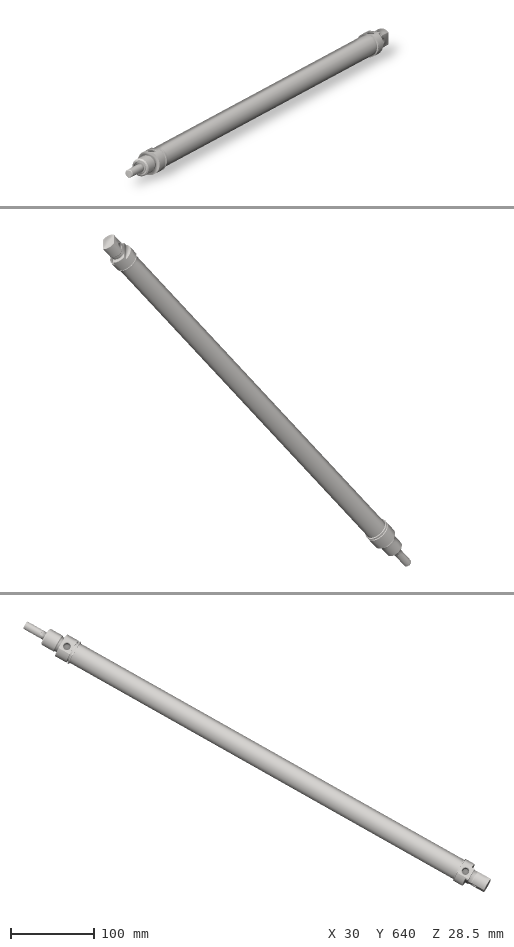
import cadquery as cq


total_length = 640.0
rod_thread_length = 22.0
rod_projection = 28.0
nose_length = 22.0
eye_length = 22.0
collar_length = 15.5
front_neck_length = 3.2
rear_neck_length = 4.0
front_groove_width = 2.0
rear_groove_width = 0.6
front_lip_length = 1.5
rear_lip_length = 0.6
wrench_flat_length = 4.0
eye_flat_length = 26.0

rod_diameter = 10.0
rod_clearance_diameter = 10.5
seal_recess_diameter = 16.2
seal_diameter = 14.0
thread_diameter = 22.0
neck_diameter = 19.7
collar_diameter = 30.0
tube_diameter = 26.5
port_diameter = 8.57
port_mouth_diameter = 9.9
eye_hole_diameter = 8.0

port_flat_height = 13.45
eye_thickness = 16.0
eye_hole_inset = 14.0
port_inset = 8.0
port_depth = 8.0
port_chamfer = (port_mouth_diameter - port_diameter) / 2
nose_chamfer = 1.5
neck_chamfer = (thread_diameter - neck_diameter) / 2
rod_chamfer = 0.95
wrench_size = 9.0
seal_recess_depth = 1.5
seal_setback = 0.5

rod_shoulder_y = -rod_projection
rod_tip_y = rod_shoulder_y - rod_thread_length
nose_tip_y = -nose_length
seal_face_y = nose_tip_y + seal_recess_depth
rear_face_y = rod_tip_y + total_length
rear_collar_end_y = rear_face_y - eye_length
rear_collar_start_y = rear_collar_end_y - collar_length
front_groove_end_y = collar_length + front_groove_width
rear_groove_end_y = rear_collar_start_y - rear_groove_width
tube_start_y = front_groove_end_y + front_lip_length
tube_end_y = rear_groove_end_y - rear_lip_length
rear_port_y = rear_collar_end_y - port_inset


def cylinder(diameter, start_y, end_y):
    """Cylinder on the Y axis between two stations."""
    plane = cq.Workplane("XZ", origin=(0, start_y, 0))
    return plane.circle(diameter / 2).extrude(start_y - end_y)


def make_rod():
    """Piston rod with wrench flats above and below, between thread and nose."""
    rod = cylinder(rod_diameter, rod_tip_y, seal_face_y).faces("<Y").chamfer(rod_chamfer)
    flats_end_y = rod_shoulder_y + wrench_flat_length
    slab = cq.Workplane("XY").box(
        rod_diameter, wrench_flat_length, wrench_size, centered=(True, False, True)
    ).translate((0, rod_shoulder_y, 0))
    return rod.cut(cylinder(rod_diameter, rod_shoulder_y, flats_end_y).cut(slab))


def make_nose():
    """Threaded nose with a stepped recess around the rod in its end face."""
    thread = cylinder(thread_diameter, nose_tip_y, -front_neck_length)
    thread = thread.faces("<Y").chamfer(nose_chamfer).faces(">Y").chamfer(neck_chamfer)
    recess = cylinder(seal_recess_diameter, nose_tip_y, seal_face_y)
    seal = cylinder(seal_diameter, nose_tip_y + seal_setback, seal_face_y)
    rod_clearance = cylinder(rod_clearance_diameter, nose_tip_y, seal_face_y)
    thread = thread.cut(recess).union(seal.cut(rod_clearance))
    return thread.union(cylinder(neck_diameter, -front_neck_length, 0))


def make_collar(start_y, end_y, port_y):
    """Round collar with a flat on top and a countersunk blind port in the flat."""
    length = end_y - start_y
    flat_cutter = cq.Workplane("XY").box(
        collar_diameter, length, collar_diameter, centered=(True, False, False)
    ).translate((0, start_y, port_flat_height))
    port = (
        cq.Workplane("XY", origin=(0, port_y, port_flat_height))
        .circle(port_diameter / 2)
        .extrude(-port_depth)
    )
    countersink = cq.Solid.makeCone(
        port_diameter / 2,
        port_mouth_diameter / 2,
        port_chamfer,
        pnt=cq.Vector(0, port_y, port_flat_height - port_chamfer),
    )
    return cylinder(collar_diameter, start_y, end_y).cut(flat_cutter).cut(port).cut(countersink)


def make_groove(start_y, end_y):
    """Ring to remove between a collar and its lip."""
    return cylinder(collar_diameter, start_y, end_y).cut(cylinder(tube_diameter, start_y, end_y))


def make_front_head():
    collar = make_collar(0, tube_start_y, port_inset)
    return collar.cut(make_groove(collar_length, front_groove_end_y))


def make_rear_head():
    """Rear collar and round eye stub, milled flat on both X sides, with a pivot hole along X."""
    neck_end_y = rear_collar_end_y + rear_neck_length
    head = make_collar(tube_end_y, rear_collar_end_y, rear_port_y)
    head = head.cut(make_groove(rear_groove_end_y, rear_collar_start_y))
    head = head.union(cylinder(neck_diameter, rear_collar_end_y, neck_end_y))
    head = head.union(cylinder(thread_diameter, neck_end_y, rear_face_y).faces("<Y").chamfer(neck_chamfer))
    slab = cq.Workplane("XY").box(
        eye_thickness, eye_flat_length, collar_diameter, centered=(True, False, True)
    ).translate((0, rear_face_y - eye_flat_length, 0))
    side_cutter = cylinder(collar_diameter, rear_face_y - eye_flat_length, rear_face_y).cut(slab)
    hole = (
        cq.Workplane("YZ", origin=(0, rear_face_y - eye_hole_inset, 0))
        .circle(eye_hole_diameter / 2)
        .extrude(thread_diameter / 2, both=True)
    )
    return head.cut(side_cutter).cut(hole)


result = cylinder(tube_diameter, tube_start_y, tube_end_y)
for section in (make_rod(), make_nose(), make_front_head(), make_rear_head()):
    result = result.union(section)